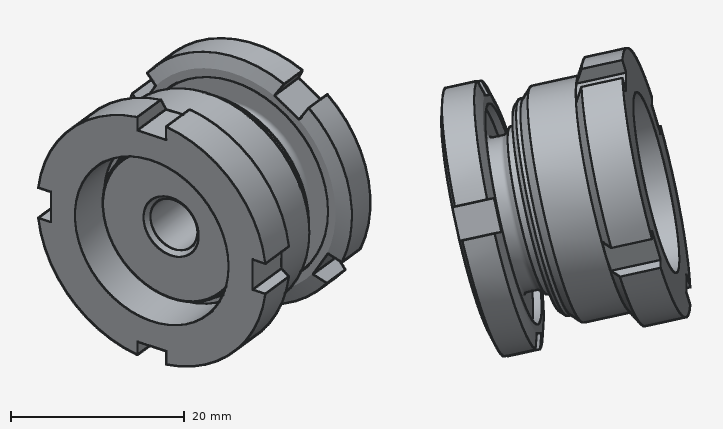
import cadquery as cq
import math


slot_count = 4
slot_width = 4.0
slot_floor_radius = 14.0

flange_radius = 15.9
flange_length = 4.85
flange_taper_end = 6.0
thread_radius = 13.98
groove_radius = 12.83
groove_start = 12.85
sleeve_length = 13.98
sleeve_end_chamfer = 0.6
pocket_radius = 10.65
pocket_depth = 6.0
bore_chamfer = 0.4

head_radius = 15.95
head_start = 16.98
overall_length = 21.95
head_bevel_length = 0.57
head_bevel_height = 1.85
head_slot_angle = 31.4
recess_radius = 13.02
recess_depth = 1.0
stem_radius = 9.65
stem_start = 4.0
stem_tip_chamfer = 0.2
shoulder_radius = 9.93
shoulder_end = 15.13
neck_radius = 9.13
neck_fillet = 0.6
hole_radius = 3.25
hole_chamfer = 0.57


def turned(points):
    """Revolve a closed (radius, y) outline about the Y axis."""
    return cq.Workplane("XY").polyline(points).close().revolve(360, (0, 0, 0), (0, 1, 0))


def rim_slots(outer_radius, y_start, y_end, start_angle):
    """Cutters for evenly spaced slots across a rim, turned about the Y axis."""
    depth = outer_radius - slot_floor_radius
    length = y_end - y_start
    cutters = cq.Workplane("XY")
    for index in range(slot_count):
        angle = start_angle + index * 360 / slot_count
        cutter = (
            cq.Workplane("XY")
            .box(slot_width, length, depth, centered=(True, False, False))
            .translate((0, y_start, slot_floor_radius))
            .rotate((0, 0, 0), (0, 1, 0), angle)
        )
        cutters = cutters.add(cutter)
    return cutters.combine()


def make_spindle():
    recess_floor = head_start + recess_depth
    fillet_center_radius = neck_radius + neck_fillet
    rear_center_y = recess_floor - neck_fillet

    half_root = math.sqrt(0.5)
    cone_foot_radius = fillet_center_radius - neck_fillet * half_root
    cone_foot_y = shoulder_end + shoulder_radius - cone_foot_radius
    front_center_y = cone_foot_y + neck_fillet * half_root

    def fillet_point(center_y, degrees):
        """Point on a neck fillet, measured from its neck side toward +Y."""
        angle = math.radians(degrees)
        return (
            fillet_center_radius - neck_fillet * math.cos(angle),
            center_y + neck_fillet * math.sin(angle),
        )

    head_face_radius = head_radius - head_bevel_height
    profile = (
        cq.Workplane("XY")
        .moveTo(hole_radius + hole_chamfer, stem_start)
        .lineTo(stem_radius - stem_tip_chamfer, stem_start)
        .lineTo(stem_radius, stem_start + stem_tip_chamfer)
        .lineTo(stem_radius, sleeve_length)
        .lineTo(shoulder_radius, sleeve_length)
        .lineTo(shoulder_radius, shoulder_end)
        .lineTo(cone_foot_radius, cone_foot_y)
        .threePointArc(fillet_point(front_center_y, -22.5), (neck_radius, front_center_y))
        .lineTo(neck_radius, rear_center_y)
        .threePointArc(fillet_point(rear_center_y, 45), (fillet_center_radius, recess_floor))
        .lineTo(recess_radius, recess_floor)
        .lineTo(recess_radius, head_start)
        .lineTo(head_face_radius, head_start)
        .lineTo(head_radius, head_start + head_bevel_length)
        .lineTo(head_radius, overall_length - head_bevel_length)
        .lineTo(head_face_radius, overall_length)
        .lineTo(hole_radius, overall_length)
        .lineTo(hole_radius, stem_start + hole_chamfer)
        .close()
    )
    body = profile.revolve(360, (0, 0, 0), (0, 1, 0))
    return body.cut(rim_slots(head_radius, head_start, overall_length, head_slot_angle))


def make_sleeve():
    body = turned([
        (pocket_radius, 0),
        (flange_radius, 0),
        (flange_radius, flange_length),
        (thread_radius, flange_taper_end),
        (thread_radius, groove_start - (thread_radius - groove_radius)),
        (groove_radius, groove_start),
        (groove_radius, sleeve_length - sleeve_end_chamfer),
        (groove_radius - sleeve_end_chamfer, sleeve_length),
        (stem_radius, sleeve_length),
        (stem_radius, pocket_depth + bore_chamfer),
        (stem_radius + bore_chamfer, pocket_depth),
        (pocket_radius, pocket_depth),
    ])
    return body.cut(rim_slots(flange_radius, 0, flange_taper_end, 0))


spindle = make_spindle()
sleeve = make_sleeve()

result = cq.Compound.makeCompound([sleeve.val(), spindle.val()])